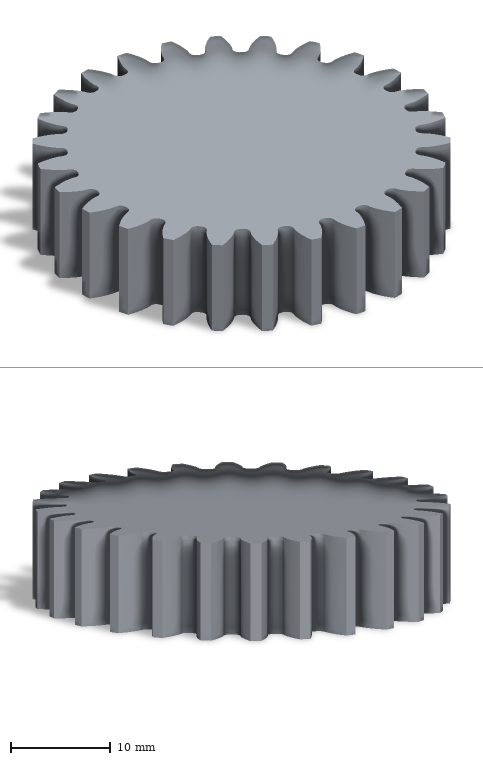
import cadquery as cq
import math

outer_diameter = 42.0
face_width = 10.0
tooth_count = 26
pressure_angle = math.radians(20)
dedendum_factor = 1.25
flank_steps = 8

module = outer_diameter / (tooth_count + 2)
outer_radius = outer_diameter / 2
pitch_radius = module * tooth_count / 2
base_radius = pitch_radius * math.cos(pressure_angle)
root_radius = pitch_radius - dedendum_factor * module
pitch_angle = 2 * math.pi / tooth_count

root_fillet_radius = (base_radius**2 - root_radius**2) / (2 * root_radius)
root_fillet_angle = math.atan(root_fillet_radius / base_radius)


def polar(radius, angle):
    return (radius * math.cos(angle), radius * math.sin(angle))


def involute_angle(radius):
    """Angle the involute has swept from the base circle out to a radius."""
    contact_angle = math.acos(base_radius / radius)
    return math.tan(contact_angle) - contact_angle


base_half_angle = pitch_angle / 4 + involute_angle(pitch_radius)
foot_half_angle = base_half_angle + root_fillet_angle


def flank_points(center_angle, side):
    """Involute points from base circle to tip; side is -1 or +1 about the tooth center."""
    points = []
    for step in range(flank_steps + 1):
        radius = base_radius + (outer_radius - base_radius) * step / flank_steps
        half_angle = base_half_angle - involute_angle(radius)
        points.append(polar(radius, center_angle + side * half_angle))
    return points


def add_tooth(outline, center_angle):
    """Continue the outline over one tooth and across the root land that follows it."""
    rising = flank_points(center_angle, -1)
    falling = flank_points(center_angle, 1)[::-1]
    foot_end = polar(root_radius, center_angle + foot_half_angle)
    land_middle = polar(root_radius, center_angle + pitch_angle / 2)
    next_foot_start = polar(root_radius, center_angle + pitch_angle - foot_half_angle)
    return (
        outline
        .radiusArc(rising[0], root_fillet_radius)
        .spline(rising[1:], includeCurrent=True)
        .threePointArc(polar(outer_radius, center_angle), falling[0])
        .spline(falling[1:], includeCurrent=True)
        .radiusArc(foot_end, root_fillet_radius)
        .threePointArc(land_middle, next_foot_start)
    )


outline = cq.Workplane("XY").moveTo(*polar(root_radius, -foot_half_angle))
for tooth in range(tooth_count):
    outline = add_tooth(outline, tooth * pitch_angle)

result = outline.close().extrude(face_width)